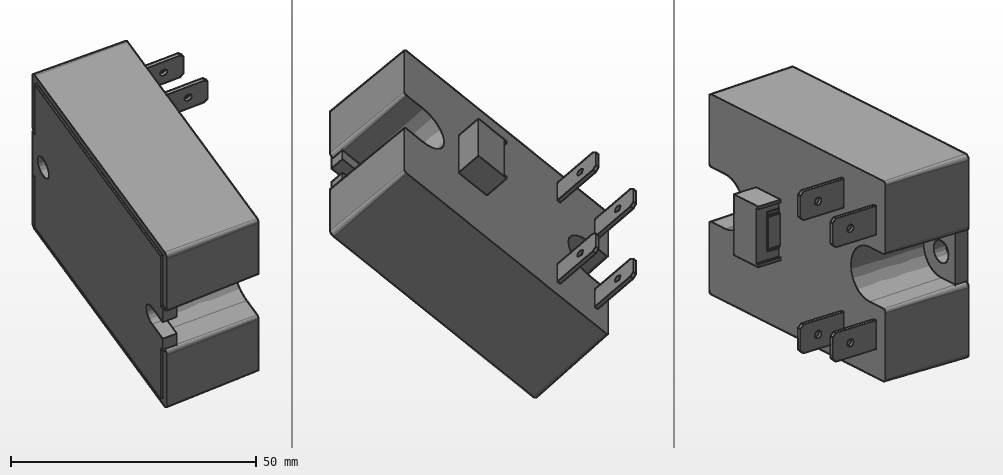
import cadquery as cq


LENGTH = 58.75
HEIGHT = 45.3
HOUSING_DEPTH = 21.4
HOUSING_DRAFT = 1.0
CORNER_RADIUS = 1.05
NOTCH_RADIUS = 5.7

PLATE_PROUD = 0.45
PLATE_THICKNESS = 3.25
PLATE_END_MARGIN = 1.9
PLATE_SIDE_MARGIN = 1.65
TAB_MARGIN = 0.9
TAB_HEIGHT = 12.6
SCREW_DIAMETER = 4.9
SCREW_INSET = 5.65

BLADE_LENGTH = 11.3
BLADE_WIDTH = 6.4
BLADE_THICKNESS = 0.8
BLADE_CHAMFER = 0.8
BLADE_HOLE_DIAMETER = 1.65
BLADE_HOLE_TO_TIP = 4.6
OUTER_BLADE_X = -25.55
INNER_BLADE_X = -14.9
BLADE_CENTRES = [
    (OUTER_BLADE_X, 12.75),
    (OUTER_BLADE_X, -12.7),
    (INNER_BLADE_X, 15.15),
    (INNER_BLADE_X, -14.45),
]

CONNECTOR_X = 9.5
CONNECTOR_Z = -0.1
CONNECTOR_LENGTH = 8.05
CONNECTOR_DEPTH = 5.8
CONNECTOR_HEIGHT = 13.5
FLANGE = 0.65
KEY_DEPTH = 3.1
KEY_HEIGHT = 7.2
KEY_RELIEF = 0.45
RIB_HEIGHT = 0.7
RIB_SPACING = 8.05
RIB_OFFSET = 0.25
RIB_RELIEF = 0.25
RIB_ROUNDING = 0.3

HOUSING_BACK = PLATE_PROUD + HOUSING_DEPTH
SCREW_X = LENGTH / 2 - SCREW_INSET


def box_between(x_range, y_range, z_range):
    """Box spanning the given (low, high) range along each axis."""
    size = [high - low for low, high in (x_range, y_range, z_range)]
    corner = (x_range[0], y_range[0], z_range[0])
    return cq.Workplane("XY").box(*size, centered=False).translate(corner)


def make_plate_blank():
    """Base plate without screw holes: a rectangle with a wide tab at each end."""
    y_range = (0, PLATE_THICKNESS)
    half_length = LENGTH / 2 - PLATE_END_MARGIN
    half_height = HEIGHT / 2 - PLATE_SIDE_MARGIN
    half_tab_length = LENGTH / 2 - TAB_MARGIN
    plate = box_between((-half_length, half_length), y_range, (-half_height, half_height))
    tabs = box_between((-half_tab_length, half_tab_length), y_range, (-TAB_HEIGHT / 2, TAB_HEIGHT / 2))
    return plate.union(tabs)


def make_plate():
    """Base plate with a screw hole at -X and an open screw slot at +X."""
    screw_holes = (
        cq.Workplane("XZ")
        .pushPoints([(-SCREW_X, 0), (SCREW_X, 0)])
        .circle(SCREW_DIAMETER / 2)
        .extrude(-PLATE_THICKNESS)
    )
    slot = box_between(
        (SCREW_X, LENGTH / 2), (0, PLATE_THICKNESS), (-SCREW_DIAMETER / 2, SCREW_DIAMETER / 2)
    )
    return make_plate_blank().cut(screw_holes).cut(slot)


def make_housing():
    """Drafted block with a U notch in each end and a pocket for the base plate."""
    outline = (
        cq.Sketch()
        .rect(LENGTH, HEIGHT)
        .push([(-LENGTH / 2, 0), (LENGTH / 2, 0)])
        .rect(2 * SCREW_INSET, 2 * NOTCH_RADIUS, mode="s")
        .reset()
        .vertices("<X or >X")
        .fillet(CORNER_RADIUS)
        .reset()
        .push([(-SCREW_X, 0), (SCREW_X, 0)])
        .circle(NOTCH_RADIUS, mode="s")
        .reset()
        .clean()
    )
    mounting_end = cq.Plane(origin=(0, PLATE_PROUD, 0), xDir=(-1, 0, 0), normal=(0, 1, 0))
    block = cq.Workplane(mounting_end).placeSketch(outline).extrude(HOUSING_DEPTH, taper=HOUSING_DRAFT)
    return block.cut(make_plate_blank())


def make_blade(x, z):
    """Flat terminal standing on the housing back, with a chamfered tip and a hole."""
    tip = HOUSING_BACK + BLADE_LENGTH
    blade = box_between(
        (x - BLADE_THICKNESS / 2, x + BLADE_THICKNESS / 2),
        (HOUSING_BACK, tip),
        (z - BLADE_WIDTH / 2, z + BLADE_WIDTH / 2),
    )
    blade = blade.faces(">Y").edges("|X").chamfer(BLADE_CHAMFER)
    hole = (
        cq.Workplane("YZ")
        .center(tip - BLADE_HOLE_TO_TIP, z)
        .circle(BLADE_HOLE_DIAMETER / 2)
        .extrude(BLADE_THICKNESS, both=True)
        .translate((x, 0, 0))
    )
    return blade.cut(hole)


def make_connector():
    """Block whose -X face is set back between two flanges and carries a key and two ribs."""
    back_x = CONNECTOR_X + CONNECTOR_LENGTH / 2
    flange_x = CONNECTOR_X - CONNECTOR_LENGTH / 2
    face_x = flange_x + FLANGE
    half_height = CONNECTOR_HEIGHT / 2
    y_range = (HOUSING_BACK, HOUSING_BACK + CONNECTOR_DEPTH)
    key_y_range = (HOUSING_BACK, HOUSING_BACK + KEY_DEPTH)

    connector = box_between((face_x, back_x), y_range, (-half_height, half_height))
    for low_z in (-half_height, half_height - FLANGE):
        connector = connector.union(box_between((flange_x, back_x), y_range, (low_z, low_z + FLANGE)))

    for side in (-1, 1):
        rib_z = RIB_OFFSET + side * RIB_SPACING / 2
        rib = box_between(
            (face_x - RIB_RELIEF, back_x), key_y_range, (rib_z - RIB_HEIGHT / 2, rib_z + RIB_HEIGHT / 2)
        )
        rib = rib.faces(">Y").edges("|X").fillet(RIB_ROUNDING)
        connector = connector.union(rib)

    key = box_between((face_x - KEY_RELIEF, back_x), key_y_range, (-KEY_HEIGHT / 2, KEY_HEIGHT / 2))
    return connector.union(key).translate((0, 0, CONNECTOR_Z))


plate = make_plate()
housing = make_housing()
blades = [make_blade(x, z) for x, z in BLADE_CENTRES]
connector = make_connector()

result = cq.Compound.makeCompound(
    [housing.val(), plate.val(), connector.val(), *[blade.val() for blade in blades]]
)